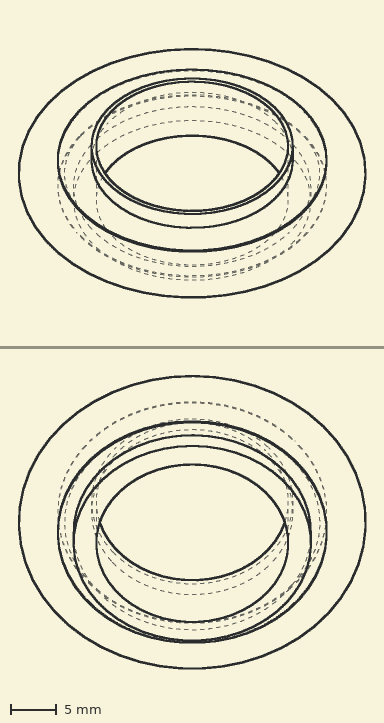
import cadquery as cq

ring_outer_diameter = 38.0
ring_section_diameter = 5.0
ring_section_radius = ring_section_diameter / 2
ring_path_radius = (ring_outer_diameter - ring_section_diameter) / 2

total_height = 8.0
bore_diameter = 21.0
upper_collar_diameter = 22.05
lower_collar_diameter = 26.0
flange_diameter = 29.45
flange_thickness = 3.9


def make_seal_ring():
    """Revolve the round section about the Z axis."""
    return (
        cq.Workplane("XZ")
        .center(ring_path_radius, 0)
        .circle(ring_section_radius)
        .revolve(360, (-ring_path_radius, 0), (-ring_path_radius, 1))
    )


def make_disc(diameter, bottom, top):
    """Solid disc on the Z axis between two heights."""
    return cq.Workplane("XY").workplane(offset=bottom).circle(diameter / 2).extrude(top - bottom)


def make_centering_ring(seal_ring):
    """Flange and collars, bored through, with a rim groove that seats the seal ring."""
    top = total_height / 2
    flange_top = flange_thickness / 2
    flange = make_disc(flange_diameter, -flange_top, flange_top)
    upper_collar = make_disc(upper_collar_diameter, 0, top)
    lower_collar = make_disc(lower_collar_diameter, -top, 0)
    bore = make_disc(bore_diameter, -top, top)
    return flange.union(upper_collar).union(lower_collar).cut(bore).cut(seal_ring).solids()


seal_ring = make_seal_ring()
centering_ring = make_centering_ring(seal_ring)

result = cq.Compound.makeCompound([centering_ring.val(), seal_ring.val()])